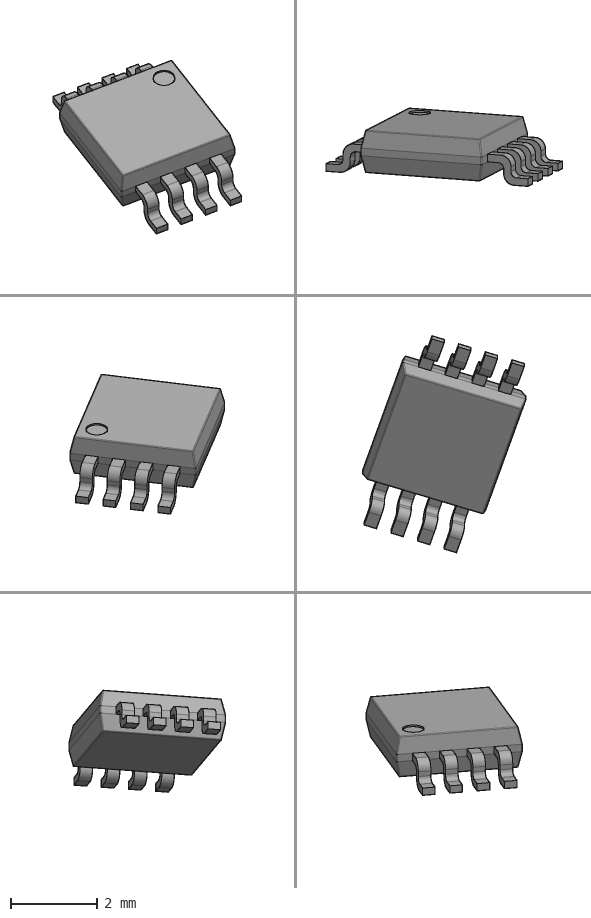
import cadquery as cq

body_side = 3.0
body_bottom = 0.1
body_top = 1.1
body_mid = (body_bottom + body_top) / 2
taper_inset = 0.085
edge_radius = 0.025

lead_span = 5.0
lead_thickness = 0.18
lead_width = 0.3
lead_pitch = 0.65
leads_per_side = 4
riser_outer_x = 2.08
outer_bend_radius = 0.255
inner_bend_radius = 0.14
lead_embed = 0.1

mark_diameter = 0.5
mark_depth = 0.04
mark_x = -0.975

band_bottom = body_mid - lead_thickness / 2
band_top = body_mid + lead_thickness / 2
first_lead_y = -lead_pitch * (leads_per_side - 1) / 2
mark_y = -first_lead_y


def tapered_block(base_z, tip_z):
    """Block between the full body square at base_z and the smaller square at tip_z."""
    tip_side = body_side - 2 * taper_inset
    return (
        cq.Workplane("XY", origin=(0, 0, base_z))
        .rect(body_side, body_side)
        .workplane(offset=tip_z - base_z)
        .rect(tip_side, tip_side)
        .loft(ruled=True)
    )


def make_body():
    band = (
        cq.Workplane("XY", origin=(0, 0, band_bottom))
        .rect(body_side, body_side)
        .extrude(lead_thickness)
    )
    body = band.union(tapered_block(band_top, body_top))
    body = body.union(tapered_block(band_bottom, body_bottom))
    upright_edges = body.edges("not #Z")
    end_edges = body.faces("<Z or >Z").edges()
    return body.newObject(upright_edges.vals() + end_edges.vals()).fillet(edge_radius)


def make_lead(y):
    """One lead on the +X side, centred at y, running from inside the body to its foot."""
    riser_inner_x = riser_outer_x - lead_thickness
    tip_x = lead_span / 2
    root_x = body_side / 2 - lead_embed
    profile = [
        (root_x, band_top),
        (riser_outer_x, band_top),
        (riser_outer_x, lead_thickness),
        (tip_x, lead_thickness),
        (tip_x, 0),
        (riser_inner_x, 0),
        (riser_inner_x, band_bottom),
        (root_x, band_bottom),
    ]
    lead = (
        cq.Workplane("XZ", origin=(0, y + lead_width / 2, 0))
        .polyline(profile)
        .close()
        .extrude(lead_width)
    )

    def bend_edge(x, z):
        return cq.selectors.NearestToPointSelector((x, y, z))

    lead = lead.edges(bend_edge(riser_outer_x, band_top)).fillet(outer_bend_radius)
    lead = lead.edges(bend_edge(riser_inner_x, 0)).fillet(outer_bend_radius)
    lead = lead.edges(bend_edge(riser_outer_x, lead_thickness)).fillet(inner_bend_radius)
    return lead.edges(bend_edge(riser_inner_x, band_bottom)).fillet(inner_bend_radius)


result = make_body()

for index in range(leads_per_side):
    lead = make_lead(first_lead_y + index * lead_pitch)
    result = result.union(lead).union(lead.mirror("YZ"))

pin_mark = (
    cq.Workplane("XY", origin=(mark_x, mark_y, body_top))
    .circle(mark_diameter / 2)
    .extrude(-mark_depth)
)
result = result.cut(pin_mark)